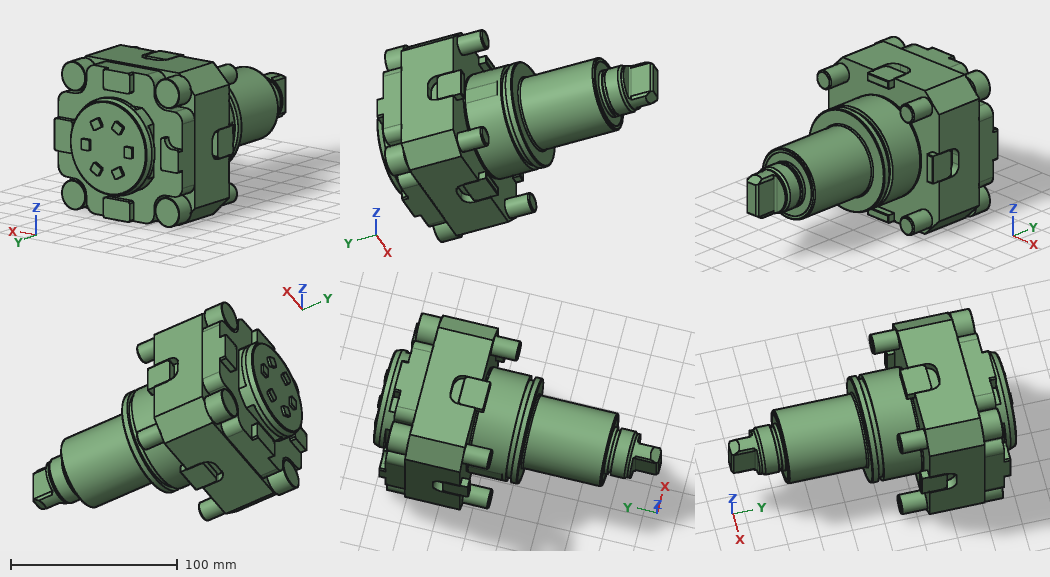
import cadquery as cq
import math


BODY_WIDTH = 94.0
BODY_BACK = 34.0
BODY_CHAMFER = 12.0

COVER_BACK = 46.1
COVER_WIDTH = 93.7
COVER_HEIGHT = 92.0
ARM_WIDTH_X = 51.0
ARM_WIDTH_Z = 52.6
ARM_RADIUS = 6.4
INNER_CORNER_RADIUS = 9.5

TAB_BACK = 50.0
TAB_WIDTH = 20.0
TAB_INNER = 33.4
TAB_CHAMFER = 1.0
NOTCH_FLOOR_Z = 4.1
NOTCH_DEPTH = 10.4
NOTCH_RADIUS = 5.8

NUT_DIAMETER = 60.0
NUT_FLATS = 50.2
NUT_LIP_FRONT = 51.3
NUT_TAPER_START = 54.1
NUT_BACK = 58.1
NUT_TAPER_INSET = 1.2
NUT_EDGE = 0.6
PAD_COUNT = 6
PAD_CIRCLE_RADIUS = 16.1
PAD_RADIAL = 5.8
PAD_TANGENTIAL = 6.7
PAD_BACK = 59.71
PAD_CORNER = 0.8

SCREW_X = 35.35
SCREW_Z = 36.75
HEAD_DIAMETER = 18.0
HEAD_EDGE = 0.3
SCREW_DIAMETER = 12.0
SCREW_TIP = -16.0
SCREW_TIP_CHAMFER = 0.8

KEY_WIDTH = 18.0
KEY_FRONT = -5.0
KEY_BACK = 10.8
KEY_TOP = 46.5
SLOT_FLOOR = 41.4
SLOT_END = 16.8
SLOT_RADIUS = 6.0
KEY_EDGE = 0.4
KEY_CORNER = 1.5

PILOT_DIAMETER = 65.0
PILOT_UNDERCUT_DIAMETER = 64.0
PILOT_UNDERCUT_END = -1.2
GROOVE_DIAMETER = 60.3
GROOVE_BACK = -24.6
GROOVE_FRONT = -27.8
PILOT_FRONT = -31.9
PILOT_CHAMFER = 0.6
FLAT_WIDTH = 10.0
FLAT_FRONT = -22.3

SHANK_DIAMETER = 45.0
SHANK_ROOT_DIAMETER = 46.4
SHANK_ROOT_END = -33.0
SHANK_FRONT = -81.1
SHANK_CHAMFER = 0.8
SHANK_RECESS_DIAMETER = 40.0
SHANK_RECESS_DEPTH = 0.2

SHAFT_DIAMETER = 29.0
SHAFT_GROOVE_DIAMETER = 26.0
SHAFT_GROOVE_BACK = -82.9
SHAFT_GROOVE_FRONT = -85.0
SHAFT_TAPER_START = -93.4
SHAFT_NECK_DIAMETER = 26.0
COLLAR_DIAMETER = 27.0
COLLAR_BACK = -95.1
COLLAR_FRONT = -96.7
TANG_FRONT = -111.9
TANG_WIDTH = 10.0
TANG_ROOT_RADIUS = 1.2
TANG_SIDE_FLAT = 21.4
TANG_SIDE_EDGE = 1.1
TANG_END_LENGTH = 5.6
TANG_END_DROP = 3.4
TANG_TIP_INSET = 1.5
TANG_TIP_LENGTH = 1.2


def box(x_range, y_range, z_range):
    """Block between the given limits along each axis."""
    sizes = [high - low for low, high in (x_range, y_range, z_range)]
    corner = (x_range[0], y_range[0], z_range[0])
    return cq.Workplane("XY").box(*sizes, centered=False).translate(corner)


def prism(sketch_points, y_start, y_end):
    """Extrude a closed outline of (x, z) points from y_start to y_end."""
    plane = cq.Workplane("XZ", origin=(0, y_start, 0))
    return plane.polyline(sketch_points).close().extrude(y_start - y_end)


def cylinder(diameter, y_start, y_end, x=0.0, z=0.0):
    """Cylinder parallel to Y."""
    plane = cq.Workplane("XZ", origin=(x, y_start, z))
    return plane.circle(diameter / 2).extrude(y_start - y_end)


def turned(profile):
    """Revolve (radius, y) points about the tool axis."""
    return cq.Workplane("XY").polyline(profile).close().revolve(360, (0, 0), (0, 1))


def about_axis(shape, angle):
    """Turn a shape about the tool axis."""
    return shape.rotate((0, 0, 0), (0, 1, 0), angle)


def make_body():
    half = BODY_WIDTH / 2
    body = box((-half, half), (0, BODY_BACK), (-half, half)).edges("|Y").chamfer(BODY_CHAMFER)
    slot = box((-KEY_WIDTH / 2, KEY_WIDTH / 2), (-SLOT_RADIUS, SLOT_END), (SLOT_FLOOR, half))
    slot = slot.edges("|Z and >Y").fillet(SLOT_RADIUS)
    key = box((-KEY_WIDTH / 2, KEY_WIDTH / 2), (KEY_FRONT, KEY_BACK), (SLOT_FLOOR, KEY_TOP))
    key = key.edges("|Z and >Y").chamfer(KEY_CORNER)
    key = key.faces("<Y").edges().chamfer(KEY_EDGE)
    for side in range(4):
        body = body.cut(about_axis(slot, 90 * side))
        body = body.union(about_axis(key, 90 * side))
    return body


def make_tab(outer):
    """Tab on the +Z arm, reaching out to the given distance from the axis."""
    tab = box((-TAB_WIDTH / 2, TAB_WIDTH / 2), (BODY_BACK, TAB_BACK), (TAB_INNER, outer))
    return tab.edges("|Y").chamfer(TAB_CHAMFER)


def make_cross():
    half_width = COVER_WIDTH / 2
    half_height = COVER_HEIGHT / 2
    depth = (BODY_BACK, COVER_BACK)
    cross = box((-half_width, half_width), depth, (-half_height, half_height))
    corner = box((ARM_WIDTH_X / 2, half_width), depth, (ARM_WIDTH_Z / 2, half_height))
    corner = corner.edges("|Y and <X and <Z").fillet(INNER_CORNER_RADIUS)
    upper_corners = corner.union(corner.mirror("YZ"))
    cross = cross.cut(upper_corners).cut(upper_corners.mirror("XY"))
    return cross.edges("|Y and (<X or >X or <Z or >Z)").fillet(ARM_RADIUS)


def make_notched_tab():
    """Tab on the -X arm with a round-bottomed notch in its upper outer corner."""
    outer = COVER_WIDTH / 2
    tab = about_axis(make_tab(outer), -90)
    top = TAB_WIDTH / 2
    notch = box((-outer, -outer + NOTCH_DEPTH), (COVER_BACK, TAB_BACK), (NOTCH_FLOOR_Z, top))
    notch = notch.edges("|Y and >X and <Z").fillet(NOTCH_RADIUS)
    lip = prism(
        [
            (-outer, NOTCH_FLOOR_Z),
            (-outer, NOTCH_FLOOR_Z - TAB_CHAMFER),
            (-outer + TAB_CHAMFER, NOTCH_FLOOR_Z),
        ],
        COVER_BACK,
        TAB_BACK,
    )
    return tab.cut(notch).cut(lip)


def make_cover():
    half_width = COVER_WIDTH / 2
    half_height = COVER_HEIGHT / 2
    cover = make_cross().union(make_notched_tab())
    cover = cover.union(make_tab(half_height))
    cover = cover.union(about_axis(make_tab(half_width), 90))
    return cover.union(about_axis(make_tab(half_height), 180))


def make_nut():
    radius = NUT_DIAMETER / 2
    taper_radius = radius - NUT_TAPER_INSET
    half_flats = NUT_FLATS / 2
    neck_range = (BODY_BACK, NUT_LIP_FRONT)
    neck = cylinder(NUT_DIAMETER, *neck_range)
    neck = neck.intersect(box((-half_flats, half_flats), neck_range, (-half_flats, half_flats)))
    lip = turned(
        [
            (0, NUT_LIP_FRONT),
            (radius, NUT_LIP_FRONT),
            (radius, NUT_TAPER_START),
            (taper_radius, NUT_BACK - NUT_EDGE),
            (taper_radius - NUT_EDGE, NUT_BACK),
            (0, NUT_BACK),
        ]
    )
    nut = neck.union(lip)
    pad = box(
        (PAD_CIRCLE_RADIUS - PAD_RADIAL / 2, PAD_CIRCLE_RADIUS + PAD_RADIAL / 2),
        (NUT_LIP_FRONT, PAD_BACK),
        (-PAD_TANGENTIAL / 2, PAD_TANGENTIAL / 2),
    )
    pad = pad.edges("|Y").fillet(PAD_CORNER)
    for index in range(PAD_COUNT):
        nut = nut.union(about_axis(pad, 360 / PAD_COUNT * index))
    return nut


def make_screw(x, z):
    head = cylinder(HEAD_DIAMETER, BODY_BACK, COVER_BACK, x, z).faces(">Y").chamfer(HEAD_EDGE)
    stem = cylinder(SCREW_DIAMETER, SCREW_TIP, BODY_BACK, x, z).faces("<Y").chamfer(SCREW_TIP_CHAMFER)
    return head.union(stem)


def make_pilot_and_shank():
    pilot = PILOT_DIAMETER / 2
    groove = GROOVE_DIAMETER / 2
    undercut = PILOT_UNDERCUT_DIAMETER / 2
    shank = SHANK_DIAMETER / 2
    root = SHANK_ROOT_DIAMETER / 2
    recess = SHANK_RECESS_DIAMETER / 2
    recess_floor = SHANK_FRONT + SHANK_RECESS_DEPTH
    turned_part = turned(
        [
            (0, BODY_BACK),
            (undercut, BODY_BACK),
            (undercut, PILOT_UNDERCUT_END),
            (pilot, PILOT_UNDERCUT_END),
            (pilot, GROOVE_BACK),
            (groove, GROOVE_BACK),
            (groove, GROOVE_FRONT),
            (pilot, GROOVE_FRONT),
            (pilot, PILOT_FRONT + PILOT_CHAMFER),
            (pilot - PILOT_CHAMFER, PILOT_FRONT),
            (root, PILOT_FRONT),
            (shank, SHANK_ROOT_END),
            (shank, SHANK_FRONT + SHANK_CHAMFER),
            (shank - SHANK_CHAMFER, SHANK_FRONT),
            (recess, SHANK_FRONT),
            (recess, recess_floor),
            (0, recess_floor),
        ]
    )
    flat_x = math.sqrt(pilot**2 - (FLAT_WIDTH / 2) ** 2)
    flat_cut = box((-pilot, -flat_x), (FLAT_FRONT, 0), (-FLAT_WIDTH / 2, FLAT_WIDTH / 2))
    return turned_part.cut(flat_cut)


def make_tang_envelope():
    """Tang cross-section, root fillets and end bevels, before rounding to the shaft."""
    radius = COLLAR_DIAMETER / 2
    half = TANG_WIDTH / 2
    narrow = half - TANG_SIDE_EDGE
    shoulder = TANG_SIDE_FLAT / 2
    section = prism(
        [
            (-half, -shoulder),
            (-narrow, -radius),
            (narrow, -radius),
            (half, -shoulder),
            (half, shoulder),
            (narrow, radius),
            (-narrow, radius),
            (-half, shoulder),
        ],
        TANG_FRONT,
        COLLAR_FRONT,
    )
    root_y = COLLAR_FRONT - TANG_ROOT_RADIUS
    root = box(
        (-half - TANG_ROOT_RADIUS, half + TANG_ROOT_RADIUS), (root_y, COLLAR_FRONT), (-radius, radius)
    )
    for side in (-1, 1):
        x = side * (half + TANG_ROOT_RADIUS)
        scoop = cq.Workplane("XY", origin=(x, root_y, -radius)).circle(TANG_ROOT_RADIUS)
        root = root.cut(scoop.extrude(2 * radius))
    end_profile = [
        (COLLAR_FRONT, -radius),
        (TANG_FRONT + TANG_END_LENGTH, -radius),
        (TANG_FRONT, -radius + TANG_END_DROP),
        (TANG_FRONT, radius - TANG_END_DROP),
        (TANG_FRONT + TANG_END_LENGTH, radius),
        (COLLAR_FRONT, radius),
    ]
    reach = half + TANG_ROOT_RADIUS
    end_bevels = cq.Workplane("YZ", origin=(-reach, 0, 0)).polyline(end_profile).close().extrude(2 * reach)
    tip = half - TANG_TIP_INSET
    tip_profile = [
        (-reach, COLLAR_FRONT),
        (-reach, root_y),
        (-half, root_y),
        (-half, TANG_FRONT + TANG_TIP_LENGTH),
        (-tip, TANG_FRONT),
        (tip, TANG_FRONT),
        (half, TANG_FRONT + TANG_TIP_LENGTH),
        (half, root_y),
        (reach, root_y),
        (reach, COLLAR_FRONT),
    ]
    tip_bevels = cq.Workplane("XY", origin=(0, 0, -radius)).polyline(tip_profile).close().extrude(2 * radius)
    return section.union(root).intersect(end_bevels).intersect(tip_bevels)


def make_drive_shaft():
    shaft = SHAFT_DIAMETER / 2
    groove = SHAFT_GROOVE_DIAMETER / 2
    neck = SHAFT_NECK_DIAMETER / 2
    collar = COLLAR_DIAMETER / 2
    drive_shaft = turned(
        [
            (0, SHANK_FRONT + SHANK_RECESS_DEPTH),
            (shaft, SHANK_FRONT + SHANK_RECESS_DEPTH),
            (shaft, SHAFT_GROOVE_BACK),
            (groove, SHAFT_GROOVE_BACK),
            (groove, SHAFT_GROOVE_FRONT),
            (shaft, SHAFT_GROOVE_FRONT),
            (shaft, SHAFT_TAPER_START),
            (neck, COLLAR_BACK),
            (collar, COLLAR_BACK),
            (collar, COLLAR_FRONT),
            (0, COLLAR_FRONT),
        ]
    )
    tang = cylinder(COLLAR_DIAMETER, TANG_FRONT, COLLAR_FRONT).intersect(make_tang_envelope())
    return drive_shaft.union(tang)


result = make_body().union(make_cover()).union(make_nut())
for x_side in (-1, 1):
    for z_side in (-1, 1):
        result = result.union(make_screw(x_side * SCREW_X, z_side * SCREW_Z))
result = result.union(make_pilot_and_shank()).union(make_drive_shaft())